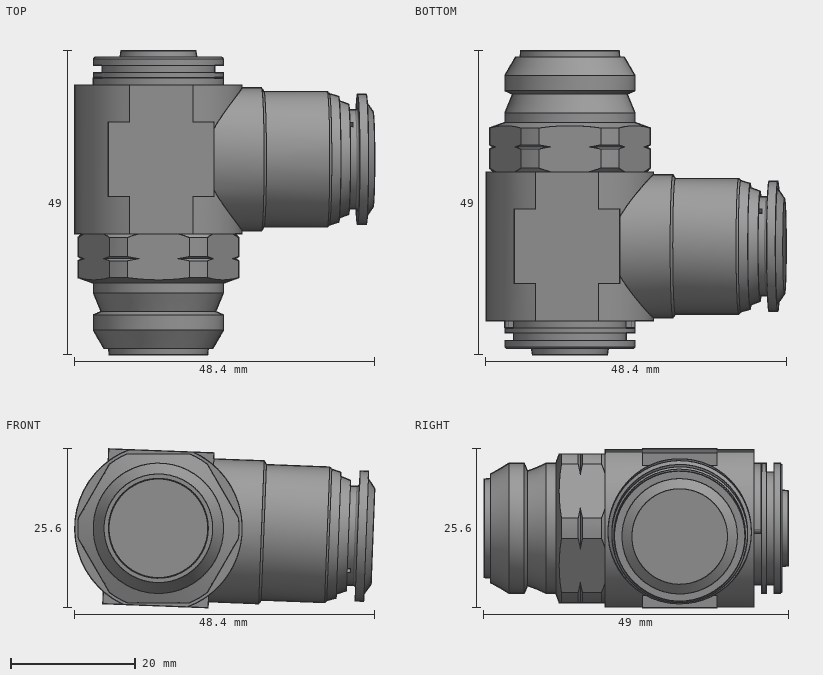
import cadquery as cq
import math

SWIVEL_ANGLE = 2.2

BODY_RADIUS = 13.5
BODY_LENGTH = 24.0
BODY_END = BODY_LENGTH / 2
PAD_HALF_HEIGHT = 12.5
PAD_WIDTH = 17.0
PAD_LENGTH = 12.0

NECK_START = 30.65
NECK_RADIUS = 8.0
NECK_FILLET = 0.4
FLANGE_START = 32.1
SLEEVE_PROFILE = [
    (16.6, 11.55),
    (17.0, 10.95),
    (27.2, 10.95),
    (27.55, 10.6),
    (29.05, 10.15),
    (29.05, 9.5),
    (NECK_START, 8.9),
    (NECK_START, NECK_RADIUS),
    (FLANGE_START - NECK_FILLET, NECK_RADIUS),
]
FLANGE_PROFILE = [
    (FLANGE_START, 10.5),
    (33.5, 10.5),
    (33.5, 9.3),
    (34.6, 7.7),
]
NOTCH_LENGTH = 0.5
NOTCH_WIDTH = 0.9
NOTCH_DEPTH = 1.0
NOTCH_ANGLES = (45, 225)

HEX_ACROSS_FLATS = 24.0
HEX_CORNER_RADIUS = 13.0
HEX_TOP_BEVEL = 0.6
HEX_END = -19.95
HEX_LOWER_BEVEL_START = -19.05
GROOVE_Y = -16.0
GROOVE_DEPTH = 0.6
GROOVE_HALF_WIDTH = GROOVE_DEPTH * math.tan(math.radians(30))

STUD_RADIUS = 10.5
STUD_PROFILE = [
    (STUD_RADIUS, -21.5),
    (9.25, -24.5),
    (STUD_RADIUS, -25.05),
    (STUD_RADIUS, -27.5),
    (8.75, -30.5),
    (8.05, -30.5),
    (7.95, -31.5),
]

HEAD_CORE_RADIUS = 9.1
HEAD_RADIUS = 10.5
SNAP_RING_BOTTOM = 13.2
SNAP_RING_TOP = 13.95
HEAD_FLANGE_BOTTOM = 15.15
HEAD_FLANGE_TOP = 16.5
HEAD_FLANGE_BEVEL = 0.3
BUTTON_BASE_RADIUS = 6.2
BUTTON_TOP_RADIUS = 6.05
BUTTON_TOP = 17.5

COLLAR_HEIGHT = 1.1
COLLAR_END_Z = -0.8
COLLAR_CORNER_RADIUS = 0.6


def turned_about_y(profile):
    """Solid of revolution about Y from an outline of (radius, y) points."""
    start_y = profile[0][1]
    end_y = profile[-1][1]
    outline = [(0, start_y)] + profile + [(0, end_y)]
    return cq.Workplane("XY").polyline(outline).close().revolve(360, (0, 0), (0, 1))


def disc(radius, bottom, top):
    """Cylinder on the Y axis between two heights."""
    return turned_about_y([(radius, bottom), (radius, top)])


def make_body():
    """Drum flattened above and below, with a wrench pad across each flat."""
    drum = disc(BODY_RADIUS, -BODY_END, BODY_END)
    flats = cq.Workplane("XY").box(2 * BODY_RADIUS, BODY_LENGTH, 2 * PAD_HALF_HEIGHT)
    pads = cq.Workplane("XY").box(PAD_WIDTH, PAD_LENGTH, 2 * PAD_HALF_HEIGHT)
    return drum.intersect(flats).union(pads)


def make_barrel():
    """Stepped sleeve along X with two opposite notches in its neck."""
    fillet_end = (FLANGE_START, NECK_RADIUS + NECK_FILLET)
    barrel = (
        cq.Workplane("XY")
        .polyline([(0, 0), (0, SLEEVE_PROFILE[0][1])] + SLEEVE_PROFILE)
        .tangentArcPoint(fillet_end, relative=False)
        .polyline(FLANGE_PROFILE + [(FLANGE_PROFILE[-1][0], 0)], includeCurrent=True)
        .close()
        .revolve(360, (0, 0), (1, 0))
    )
    notch = cq.Workplane("XY").box(NOTCH_LENGTH, NOTCH_WIDTH, 2 * NOTCH_DEPTH).translate(
        (NECK_START + NOTCH_LENGTH / 2, 0, NECK_RADIUS)
    )
    for angle in NOTCH_ANGLES:
        barrel = barrel.cut(notch.rotate((0, 0, 0), (1, 0, 0), -angle))
    return barrel


def make_hexagon():
    """Hexagon with flats facing Z, turned corners and a V groove round the corners."""
    hex_length = -BODY_END - HEX_END
    hex_across_corners = HEX_ACROSS_FLATS / math.cos(math.radians(30))
    prism = (
        cq.Workplane("XZ", origin=(0, -BODY_END, 0))
        .polygon(6, hex_across_corners)
        .extrude(hex_length)
    )
    envelope = turned_about_y([
        (HEX_CORNER_RADIUS - HEX_TOP_BEVEL, -BODY_END),
        (HEX_CORNER_RADIUS, -BODY_END - HEX_TOP_BEVEL),
        (HEX_CORNER_RADIUS, GROOVE_Y + GROOVE_HALF_WIDTH),
        (HEX_CORNER_RADIUS - GROOVE_DEPTH, GROOVE_Y),
        (HEX_CORNER_RADIUS, GROOVE_Y - GROOVE_HALF_WIDTH),
        (HEX_CORNER_RADIUS, HEX_LOWER_BEVEL_START),
        (STUD_RADIUS, HEX_END),
    ])
    return prism.intersect(envelope)


def make_stud():
    """Sealing cone, rim, lead-in cone and end spigot."""
    return turned_about_y([(STUD_RADIUS, HEX_END)] + STUD_PROFILE)


def make_head():
    """Core with a snap ring, a bevelled flange and a central button."""
    core = disc(HEAD_CORE_RADIUS, BODY_END, HEAD_FLANGE_TOP)
    snap_ring = disc(HEAD_RADIUS, SNAP_RING_BOTTOM, SNAP_RING_TOP)
    flange = disc(HEAD_RADIUS, HEAD_FLANGE_BOTTOM, HEAD_FLANGE_TOP).faces(">Y").chamfer(HEAD_FLANGE_BEVEL)
    button = turned_about_y([(BUTTON_BASE_RADIUS, HEAD_FLANGE_TOP), (BUTTON_TOP_RADIUS, BUTTON_TOP)])
    return core.union(snap_ring).union(flange).union(button)


def make_collar():
    """Part-circle collar on the +Z side, rounded at its two ends."""
    end_x = math.sqrt(HEAD_RADIUS**2 - COLLAR_END_Z**2)
    return (
        cq.Workplane("XZ", origin=(0, BODY_END, 0))
        .moveTo(-end_x, COLLAR_END_Z)
        .threePointArc((0, HEAD_RADIUS), (end_x, COLLAR_END_Z))
        .close()
        .extrude(-COLLAR_HEIGHT)
        .edges("|Y")
        .fillet(COLLAR_CORNER_RADIUS)
    )


banjo = make_body().union(make_barrel()).rotate((0, 0, 0), (0, 1, 0), SWIVEL_ANGLE)
result = banjo.union(make_hexagon()).union(make_stud()).union(make_head()).union(make_collar())